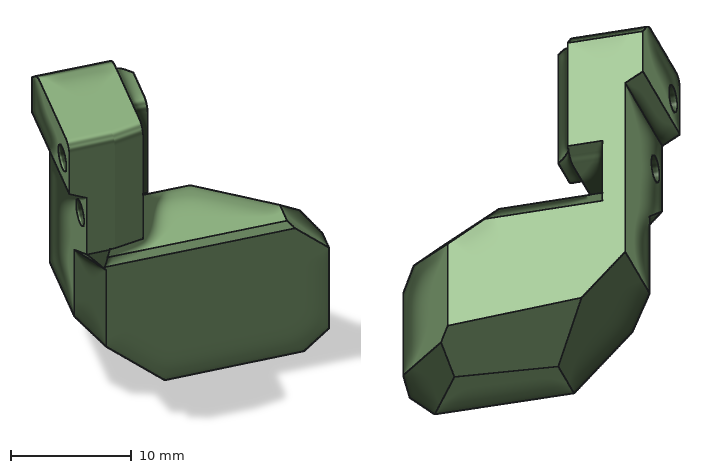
import cadquery as cq
import math

HEIGHT = 29.65
HEAD_WIDTH = 10.58
DEPTH = 22.9
BIG = 100.0

BODY_WIDTH = 9.11
ARM_FRONT_Y = 1.53
ARM_BACK_Y = 3.5
FOOT_TOP = 14.49
INNER_FILLET = 0.4
FOOT_REAR_RISE = 0.07
FRONT_BEVEL = 7.17
REAR_TOP_BEVEL = 3.47
LEFT_TOP_BEVEL = 2.05
RIGHT_TOP_BEVEL = 0.53
RIGHT_FRONT_BEVEL = 2.12
REAR_CUT_X = 7.23
REAR_CUT_Y = 6.05

UPPER_FACET_FRONT_Y = 13.05
UPPER_FACET_BACK_X = 6.54
SLANT_TOP_Z = 10.6
SLANT_BOTTOM_Z = 2.71
LEFT_FACET_FRONT_Z = 3.4
LEFT_FACET_WIDTH = 4.6
REAR_FACET_LEFT_Z = 3.12
REAR_FACET_RIGHT_Z = 2.05
REAR_FACET_RUN = 5.1
REAR_FACET_FRONT_Z = 1.9

ARM_FLARE_LOW_Z = 13.8
ARM_FLARE_HIGH_Z = 17.16
BEVEL_TOP_FRONT_Z = 14.6
BEVEL_TOP_SIDE_Z = 13.6

HEAD_BACK_Y = 6.51
HEAD_BOTTOM = 17.23
TOP_BEVEL, TOP_ROUND = 1.48, 2.0
BOTTOM_BEVEL, BOTTOM_ROUND = 1.0, 1.5
TOP_RIGHT_ROUND = 1.0
LIP_BOTTOM = 24.3
LIP_ANGLE = 29.0
SIDE_TAPER_START_Y = 3.93
SIDE_TAPER = 0.44

PAD_THICKNESS = 1.53
PAD_LEFT, PAD_RIGHT = 0.87, 6.47
PAD_BOTTOM, PAD_TOP = 18.2, 28.66
PAD_ROUND = 1.0

HOLE_DIAMETER = 2.3
HOLE_X = 8.62
HOLE_TOP_Z = 26.63
HOLE_PITCH = 6.5


def prism_x(points, x_start, x_end):
    """Extrude a (Y, Z) outline along X."""
    return cq.Workplane("YZ", origin=(x_start, 0, 0)).polyline(points).close().extrude(x_end - x_start)


def prism_y(points, y_start, y_end):
    """Extrude an (X, Z) outline along Y."""
    return cq.Workplane("XZ", origin=(0, y_start, 0)).polyline(points).close().extrude(y_start - y_end)


def prism_z(points, z_start, z_end):
    """Extrude an (X, Y) outline along Z."""
    return cq.Workplane("XY", origin=(0, 0, z_start)).polyline(points).close().extrude(z_end - z_start)


def outside_of(a, b, c):
    """Large body on the side of plane a-b-c from which the points run counterclockwise."""
    origin = cq.Vector(*a)
    along = cq.Vector(*b) - origin
    normal = along.cross(cq.Vector(*c) - origin)
    plane = cq.Plane(origin=origin, xDir=along, normal=normal)
    return cq.Workplane(plane).rect(BIG, BIG).extrude(BIG)


def make_foot():
    """Foot with the lower part of the arm."""
    foot = (
        cq.Workplane("YZ")
        .moveTo(ARM_FRONT_Y, FRONT_BEVEL)
        .lineTo(ARM_FRONT_Y + FRONT_BEVEL, 0)
        .lineTo(DEPTH, FOOT_REAR_RISE)
        .lineTo(DEPTH, FOOT_TOP - REAR_TOP_BEVEL)
        .lineTo(DEPTH - REAR_TOP_BEVEL, FOOT_TOP)
        .lineTo(ARM_BACK_Y + INNER_FILLET, FOOT_TOP)
        .radiusArc((ARM_BACK_Y, FOOT_TOP + INNER_FILLET), INNER_FILLET)
        .lineTo(ARM_FRONT_Y, FOOT_TOP + INNER_FILLET)
        .close()
        .extrude(BODY_WIDTH)
    )

    left_bevel = [
        (0, FOOT_TOP - LEFT_TOP_BEVEL),
        (0, HEIGHT),
        (HEIGHT - FOOT_TOP + LEFT_TOP_BEVEL, HEIGHT),
    ]
    right_low_z = FOOT_TOP - RIGHT_TOP_BEVEL
    right_bevel = [
        (BODY_WIDTH, right_low_z),
        (BODY_WIDTH, right_low_z + BODY_WIDTH),
        (0, right_low_z + BODY_WIDTH),
    ]
    for bevel in (left_bevel, right_bevel):
        foot = foot.cut(prism_y(bevel, ARM_BACK_Y, DEPTH))

    rear_left = [(0, DEPTH - REAR_CUT_Y), (REAR_CUT_X, DEPTH), (0, DEPTH)]
    foot = foot.cut(prism_z(rear_left, 0, HEIGHT))

    slant_start_y = DEPTH - REAR_CUT_Y
    upper_facet = outside_of(
        (LEFT_TOP_BEVEL, UPPER_FACET_FRONT_Y, FOOT_TOP),
        (UPPER_FACET_BACK_X, DEPTH - REAR_TOP_BEVEL, FOOT_TOP),
        (0, slant_start_y, SLANT_TOP_Z),
    )
    left_facet = outside_of(
        (0, ARM_FRONT_Y + FRONT_BEVEL - LEFT_FACET_FRONT_Z, LEFT_FACET_FRONT_Z),
        (0, slant_start_y, SLANT_BOTTOM_Z),
        (LEFT_FACET_WIDTH, ARM_FRONT_Y + FRONT_BEVEL, 0),
    )
    rear_facet = outside_of(
        (REAR_CUT_X, DEPTH, REAR_FACET_LEFT_Z),
        (BODY_WIDTH, DEPTH, REAR_FACET_RIGHT_Z),
        (REAR_CUT_X - REAR_FACET_RUN * REAR_CUT_X / REAR_CUT_Y, DEPTH - REAR_FACET_RUN, REAR_FACET_FRONT_Z),
    )
    for facet in (upper_facet, left_facet, rear_facet):
        foot = foot.cut(facet)
    return foot


def make_arm():
    """Upright plate joining foot and head, flared to the head width."""
    top = HEAD_BOTTOM + BOTTOM_BEVEL
    outline = [
        (0, ARM_FLARE_LOW_Z),
        (BODY_WIDTH, ARM_FLARE_LOW_Z),
        (HEAD_WIDTH, ARM_FLARE_HIGH_Z),
        (HEAD_WIDTH, top),
        (0, top),
    ]
    return prism_y(outline, ARM_FRONT_Y, ARM_BACK_Y)


def right_front_bevel():
    """Body cut from the right front edge, ending upward in a slanted face under the flare."""
    start_x = BODY_WIDTH - RIGHT_FRONT_BEVEL
    reach = HEAD_WIDTH - start_x
    wedge = prism_z(
        [(start_x, ARM_FRONT_Y), (HEAD_WIDTH, ARM_FRONT_Y), (HEAD_WIDTH, ARM_FRONT_Y + reach)],
        0,
        HEIGHT,
    )
    flare_corner = (HEAD_WIDTH, ARM_FRONT_Y, ARM_FLARE_HIGH_Z)
    bevel_start = (start_x, ARM_FRONT_Y, BEVEL_TOP_FRONT_Z)
    bevel_end = (BODY_WIDTH, ARM_FRONT_Y + RIGHT_FRONT_BEVEL, BEVEL_TOP_SIDE_Z)
    return wedge.intersect(outside_of(flare_corner, bevel_start, bevel_end))


def make_head():
    """Block at the top of the arm, with a front lip and a tapered right side."""
    head = prism_z(
        [
            (0, 0),
            (HEAD_WIDTH, 0),
            (HEAD_WIDTH, SIDE_TAPER_START_Y),
            (HEAD_WIDTH - SIDE_TAPER, HEAD_BACK_Y),
            (0, HEAD_BACK_Y),
        ],
        HEAD_BOTTOM,
        HEIGHT,
    )
    right_edges = cq.selectors.BoxSelector(
        (HEAD_WIDTH - SIDE_TAPER, 0, HEIGHT - TOP_RIGHT_ROUND),
        (HEAD_WIDTH + SIDE_TAPER, HEAD_BACK_Y, HEIGHT + TOP_RIGHT_ROUND),
    )
    head = head.faces(">Z").edges(right_edges).fillet(TOP_RIGHT_ROUND)

    for side, edge, bevel, blend in (
        (">Z", HEIGHT, TOP_BEVEL, TOP_ROUND),
        ("<Z", HEAD_BOTTOM, BOTTOM_BEVEL, BOTTOM_ROUND),
    ):
        head = head.faces(side).edges("<X").chamfer(bevel)
        blend_edge = cq.selectors.NearestToPointSelector((bevel, HEAD_BACK_Y / 2, edge))
        head = head.edges(blend_edge).fillet(blend)

    lip_drop = ARM_FRONT_Y * math.tan(math.radians(LIP_ANGLE))
    below_lip = [
        (0, LIP_BOTTOM),
        (ARM_FRONT_Y, LIP_BOTTOM - lip_drop),
        (ARM_FRONT_Y, 0),
        (0, 0),
    ]
    return head.cut(prism_x(below_lip, 0, HEAD_WIDTH))


def make_pad():
    """Rounded pad on the back of the head."""
    width = PAD_RIGHT - PAD_LEFT
    height = PAD_TOP - PAD_BOTTOM
    pad = (
        cq.Workplane("XY")
        .box(width, PAD_THICKNESS, height, centered=False)
        .edges("|Y")
        .fillet(PAD_ROUND)
        .translate((PAD_LEFT, HEAD_BACK_Y, PAD_BOTTOM))
    )
    pad_back = HEAD_BACK_Y + PAD_THICKNESS
    left_cut = [(PAD_LEFT, HEAD_BACK_Y), (PAD_LEFT + PAD_THICKNESS, pad_back), (PAD_LEFT, pad_back)]
    return pad.cut(prism_z(left_cut, PAD_BOTTOM, PAD_TOP))


def screw_holes():
    """Two through holes along Y, one above the other."""
    return (
        cq.Workplane("XZ")
        .pushPoints([(HOLE_X, HOLE_TOP_Z), (HOLE_X, HOLE_TOP_Z - HOLE_PITCH)])
        .circle(HOLE_DIAMETER / 2)
        .extrude(-HEAD_BACK_Y)
    )


body = make_foot().union(make_arm()).cut(right_front_bevel())
result = body.union(make_head()).union(make_pad()).cut(screw_holes())